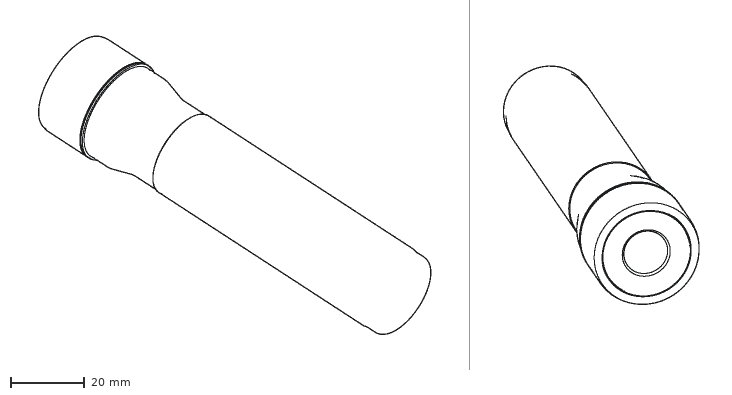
import cadquery as cq

LENGTH = 120.0

HEAD_DIAMETER = 30.0
HEAD_LENGTH = 16.3
FRONT_EDGE_LENGTH = 0.8
FRONT_EDGE_DROP = 0.3
FRONT_BEVEL_END = 1.5
FRONT_BEVEL_DROP = 0.07
GROOVE_START = 15.4
GROOVE_WIDTH = 0.4
GROOVE_DEPTH = 0.07

NOSE_DIAMETER = 24.5
COLLAR_DIAMETER = 28.5
GRIP_DIAMETER = 25.0
COLLAR_END = 22.1
TAPER_START = 23.2
TAPER_END = 28.9
NECK_START = 31.8
TAPER_START_DROP = 0.1
TAPER_END_RISE = 0.3
GRIP_START = 39.6
GRIP_START_CHAMFER = 0.2
GRIP_END = 115.7
GRIP_END_CHAMFER_LENGTH = 1.1
TAIL_EDGE_RADIUS = 1.1

SLIT_DIAMETER = GRIP_DIAMETER
SLIT_DEPTH = 1.2

DISH_DIAMETER = 21.4
DISH_DEPTH = 0.5
BOWL_RIM_DIAMETER = 13.4
BOWL_DIAMETER = 12.2
BOWL_WALL = 0.2
BOWL_CORNER_RADIUS = 1.4


def turn(profile):
    """Revolve a closed half profile (X, radius) about the X axis."""
    return profile.close().revolve(360, (0, 0, 0), (1, 0, 0))


def ring(start, width, inner_diameter, outer_diameter):
    """Plain ring on the X axis."""
    return (
        cq.Workplane("YZ")
        .workplane(offset=start)
        .circle(outer_diameter / 2)
        .circle(inner_diameter / 2)
        .extrude(width)
    )


def make_head():
    """Ring with a double-beveled front edge, a shallow groove and a slit around its bore."""
    bore = NOSE_DIAMETER / 2
    slit = SLIT_DIAMETER / 2
    outer = HEAD_DIAMETER / 2
    head = turn(
        cq.Workplane("XY")
        .moveTo(0, slit)
        .lineTo(0, outer - FRONT_EDGE_DROP)
        .lineTo(FRONT_EDGE_LENGTH, outer - FRONT_BEVEL_DROP)
        .lineTo(FRONT_BEVEL_END, outer)
        .lineTo(HEAD_LENGTH, outer)
        .lineTo(HEAD_LENGTH, bore)
        .lineTo(SLIT_DEPTH, bore)
        .lineTo(SLIT_DEPTH, slit)
    )
    groove_diameter = HEAD_DIAMETER - 2 * GROOVE_DEPTH
    return head.cut(ring(GROOVE_START, GROOVE_WIDTH, groove_diameter, HEAD_DIAMETER))


def make_recess():
    """Cutter for the recess in the front face of the nose."""
    rim_chamfer = (BOWL_RIM_DIAMETER - BOWL_DIAMETER) / 2
    wall_start = DISH_DEPTH + rim_chamfer
    corner_start = wall_start + BOWL_WALL
    floor = corner_start + BOWL_CORNER_RADIUS
    floor_radius = BOWL_DIAMETER / 2 - BOWL_CORNER_RADIUS
    diagonal = BOWL_CORNER_RADIUS * 0.5 ** 0.5
    return turn(
        cq.Workplane("XY")
        .lineTo(0, DISH_DIAMETER / 2)
        .lineTo(DISH_DEPTH, BOWL_RIM_DIAMETER / 2)
        .lineTo(wall_start, BOWL_DIAMETER / 2)
        .lineTo(corner_start, BOWL_DIAMETER / 2)
        .threePointArc((corner_start + diagonal, floor_radius + diagonal), (floor, floor_radius))
        .lineTo(floor, 0)
    )


def make_barrel():
    """Solid barrel with collar, taper, neck, grip and tail."""
    nose = NOSE_DIAMETER / 2
    collar = COLLAR_DIAMETER / 2
    grip = GRIP_DIAMETER / 2
    barrel = turn(
        cq.Workplane("XY")
        .lineTo(0, nose)
        .lineTo(HEAD_LENGTH, nose)
        .lineTo(HEAD_LENGTH, collar)
        .lineTo(COLLAR_END, collar)
        .tangentArcPoint((TAPER_START, collar - TAPER_START_DROP), relative=False)
        .lineTo(TAPER_END, nose + TAPER_END_RISE)
        .tangentArcPoint((NECK_START, nose), relative=False)
        .lineTo(GRIP_START, nose)
        .lineTo(GRIP_START + GRIP_START_CHAMFER, grip)
        .lineTo(GRIP_END - GRIP_END_CHAMFER_LENGTH, grip)
        .lineTo(GRIP_END, nose)
        .lineTo(LENGTH, nose)
        .lineTo(LENGTH, 0)
    )
    barrel = barrel.faces(">X").edges().fillet(TAIL_EDGE_RADIUS)
    return barrel.cut(make_recess())


head = make_head()
barrel = make_barrel()

result = cq.Compound.makeCompound([head.val(), barrel.val()])